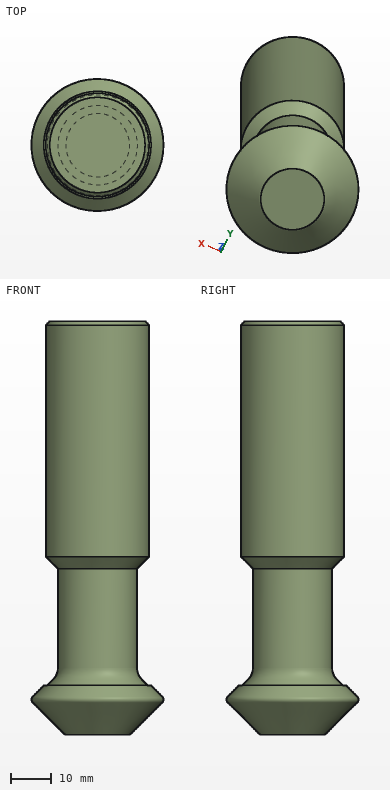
import cadquery as cq
import math

total_height = 101.6
bar_radius = 12.7
bar_top_chamfer = 1.0
bar_bottom = 43.75
neck_radius = 9.75
neck_fillet_radius = 4.0
foot_radius = 12.4

head_height = 12.15
rim_radius = 16.25
rim_rounding = 0.95
tip_radius = 7.8
tip_chamfer_width = 0.4
tip_chamfer_height = 0.25

slope = math.radians(45)
bar_taper = bar_radius - neck_radius

rim_corner_radius = rim_radius + rim_rounding * (1 / math.cos(slope) - 1)
lower_cone_radius = tip_radius + tip_chamfer_width
rim_height = tip_chamfer_height + rim_corner_radius - lower_cone_radius
rim_tangent_radius = rim_radius - rim_rounding * (1 - math.cos(slope))
rim_tangent_offset = rim_rounding * math.sin(slope)
shoulder_radius = rim_corner_radius - (head_height - rim_height)

fillet_foot_radius = neck_radius + neck_fillet_radius * (1 - math.cos(slope))
fillet_foot = head_height + foot_radius - fillet_foot_radius
fillet_top = fillet_foot + neck_fillet_radius * math.sin(slope)
fillet_mid_radius = neck_radius + neck_fillet_radius * (1 - math.cos(slope / 2))
fillet_mid = fillet_top - neck_fillet_radius * math.sin(slope / 2)


def turn(profile):
    """Revolve a closed radius-height profile fully about the Z axis."""
    return profile.revolve(360, (0, 0, 0), (0, 1, 0))


def make_stud():
    """Bar with a chamfered top, a tapered lower end, a neck and a flared foot."""
    return turn(
        cq.Workplane("XZ")
        .moveTo(0, head_height)
        .lineTo(foot_radius, head_height)
        .lineTo(fillet_foot_radius, fillet_foot)
        .threePointArc((fillet_mid_radius, fillet_mid), (neck_radius, fillet_top))
        .lineTo(neck_radius, bar_bottom - bar_taper)
        .lineTo(bar_radius, bar_bottom)
        .lineTo(bar_radius, total_height - bar_top_chamfer)
        .lineTo(bar_radius - bar_top_chamfer, total_height)
        .lineTo(0, total_height)
        .close()
    )


def make_head():
    """Solid double cone with a rounded rim and a lightly chamfered tip."""
    return turn(
        cq.Workplane("XZ")
        .moveTo(0, 0)
        .lineTo(tip_radius, 0)
        .lineTo(lower_cone_radius, tip_chamfer_height)
        .lineTo(rim_tangent_radius, rim_height - rim_tangent_offset)
        .threePointArc(
            (rim_radius, rim_height),
            (rim_tangent_radius, rim_height + rim_tangent_offset),
        )
        .lineTo(shoulder_radius, head_height)
        .lineTo(0, head_height)
        .close()
    )


stud = make_stud()
head = make_head()

result = cq.Compound.makeCompound([stud.val(), head.val()])